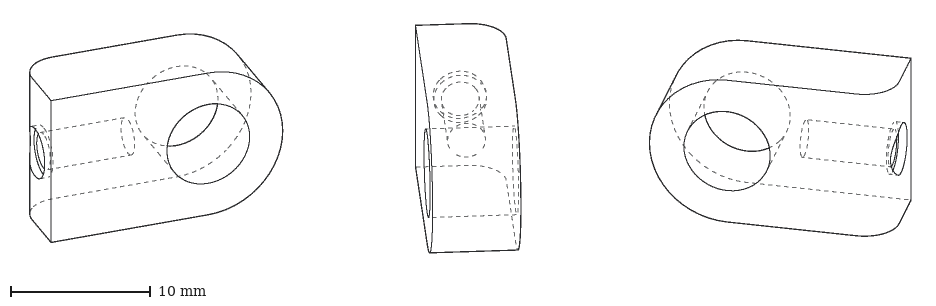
import cadquery as cq

thickness = 6.35
length = 17.78
height = 11.43

eye_radius = height / 2
eye_hole_diameter = 6.35
corner_radius = 2.55

screw_hole_diameter = 2.72
screw_hole_depth = 7.11
counterbore_diameter = 3.8
counterbore_depth = 0.64

flat_end_y = eye_radius - length


def make_body():
    """Plate with one full-round end, centred on the eye axis."""
    profile = (
        cq.Workplane("YZ")
        .moveTo(0, -eye_radius)
        .threePointArc((eye_radius, 0), (0, eye_radius))
        .lineTo(flat_end_y, eye_radius)
        .lineTo(flat_end_y, -eye_radius)
        .close()
    )
    body = profile.extrude(thickness / 2, both=True)
    return body.edges("|Z").edges("<Y").edges("<X").fillet(corner_radius)


def make_eye_hole():
    """Cross hole through the full thickness."""
    return cq.Workplane("YZ").circle(eye_hole_diameter / 2).extrude(thickness / 2, both=True)


def make_end_bore(diameter, depth):
    """Flat-bottomed cylinder running from the flat end toward +Y."""
    end_plane = cq.Workplane("XZ", origin=(0, flat_end_y, 0))
    return end_plane.circle(diameter / 2).extrude(-depth)


result = (
    make_body()
    .cut(make_eye_hole())
    .cut(make_end_bore(counterbore_diameter, counterbore_depth))
    .cut(make_end_bore(screw_hole_diameter, screw_hole_depth))
)